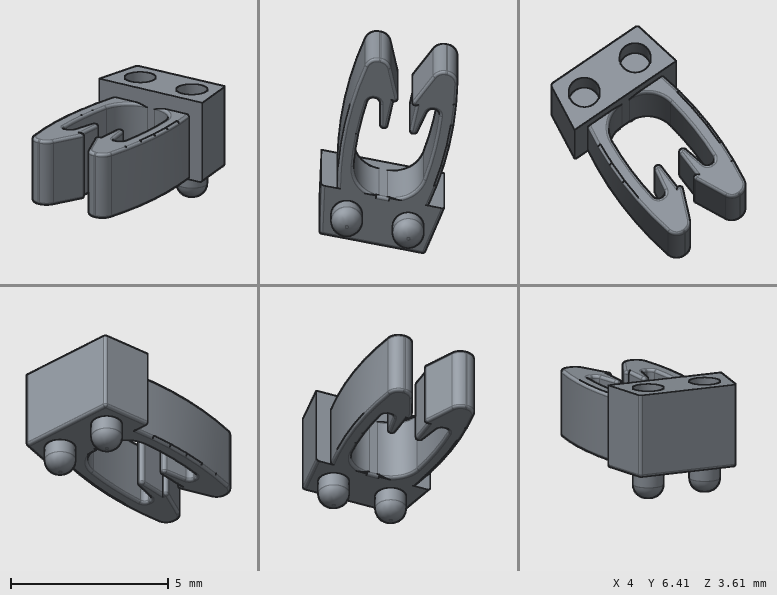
import cadquery as cq
import math

block_front_width = 4.0
block_back_width = 3.42
block_depth = 1.705
block_height = 2.7
edge_radius = 0.1

pin_diameter = 1.0
pin_spacing = 2.0
pin_y = block_depth / 2
pin_length = 0.905
pin_tip_radius = 0.45
socket_depth = pin_length

clip_height = 2.2
clip_length = 6.41 - block_depth
clip_edge_radius = 0.095
clip_root_depth = 0.32
arch_radius = 1.0
arch_flat_half_width = 0.14
hollow_round_half_width = 0.21
arch_end_angle = 8

bow_root_x = 1.415
bow_middle = (1.705, -1.99)

tip_outer = (1.44, -clip_length)
tip_inner = (0.795, -clip_length)
barb_point = (0.18, -3.315)
finger_inner_x = 0.36
finger_tip_inner = (finger_inner_x, -2.33)
finger_tip_outer = (0.59, -2.33)
hollow_inner = (0.795, -3.31)
hollow_outer = (1.155, -3.31)
inner_wall_middle = (1.21, -1.92)

rounded_corners = [
    (0.41, [tip_outer, tip_inner]),
    (0.1, [barb_point]),
    (0.12, [finger_tip_inner, finger_tip_outer]),
    (0.185, [hollow_inner, hollow_outer]),
]


def make_block():
    half_front = block_front_width / 2
    half_back = block_back_width / 2
    block = (
        cq.Workplane("XY")
        .polyline([
            (-half_front, 0),
            (half_front, 0),
            (half_back, block_depth),
            (-half_back, block_depth),
        ])
        .close()
        .extrude(block_height)
    )
    block = block.edges("|Z and >Y").fillet(edge_radius)
    return block.faces("<Z").edges("not <Y").fillet(edge_radius)


def arch_point(angle):
    """Point on the arch at the hollow's root, which is tangent to the block."""
    return (
        arch_flat_half_width + arch_radius * math.cos(angle),
        arch_radius * (math.sin(angle) - 1),
    )


def upright_edge_at(x, y):
    reach = 0.005
    return cq.selectors.BoxSelector(
        (x - reach, y - reach, 0),
        (x + reach, y + reach, clip_height),
    )


def clip_arm():
    """Right-hand arm: outer bow, rounded tip, barb, finger and inner hollow."""
    arch_angle = math.radians(arch_end_angle)
    arch_middle_angle = (arch_angle + math.pi / 2) / 2
    arm = (
        cq.Workplane("XY")
        .moveTo(0, clip_root_depth)
        .lineTo(bow_root_x, clip_root_depth)
        .threePointArc(bow_middle, tip_outer)
        .lineTo(*tip_inner)
        .lineTo(*barb_point)
        .lineTo(finger_inner_x, barb_point[1])
        .lineTo(*finger_tip_inner)
        .lineTo(*finger_tip_outer)
        .lineTo(*hollow_inner)
        .lineTo(*hollow_outer)
        .threePointArc(inner_wall_middle, arch_point(arch_angle))
        .threePointArc(arch_point(arch_middle_angle), arch_point(math.pi / 2))
        .lineTo(0, 0)
        .close()
        .extrude(clip_height)
    )
    for radius, corners in rounded_corners:
        for x, y in corners:
            arm = arm.edges(upright_edge_at(x, y)).fillet(radius)
    return arm


def make_clip():
    arm = clip_arm()
    clip = arm.union(arm.mirror("YZ")).clean()
    margin = 0.065
    outline = cq.selectors.BoxSelector(
        (-block_front_width, -clip_length - margin, -margin),
        (block_front_width, clip_root_depth / 2, clip_height + margin),
    )
    return clip.faces("<Z or >Z").edges(outline).fillet(clip_edge_radius)


def pin_points():
    return [(-pin_spacing / 2, pin_y), (pin_spacing / 2, pin_y)]


def make_pins():
    pins = cq.Workplane("XY").pushPoints(pin_points()).circle(pin_diameter / 2).extrude(-pin_length)
    return pins.faces("<Z").edges().fillet(pin_tip_radius)


def make_sockets():
    return (
        cq.Workplane("XY", origin=(0, 0, block_height))
        .pushPoints(pin_points())
        .circle(pin_diameter / 2)
        .extrude(-socket_depth)
    )


def make_hollow_edge_round():
    """Material removed to round the block's bottom edge inside the hollow."""
    radius = clip_edge_radius
    arc_middle = radius * (1 - 0.5**0.5)
    return (
        cq.Workplane("YZ")
        .lineTo(radius, 0)
        .threePointArc((arc_middle, arc_middle), (0, radius))
        .close()
        .extrude(hollow_round_half_width, both=True)
    )


result = make_block().union(make_clip()).union(make_pins())
result = result.cut(make_sockets()).cut(make_hollow_edge_round())